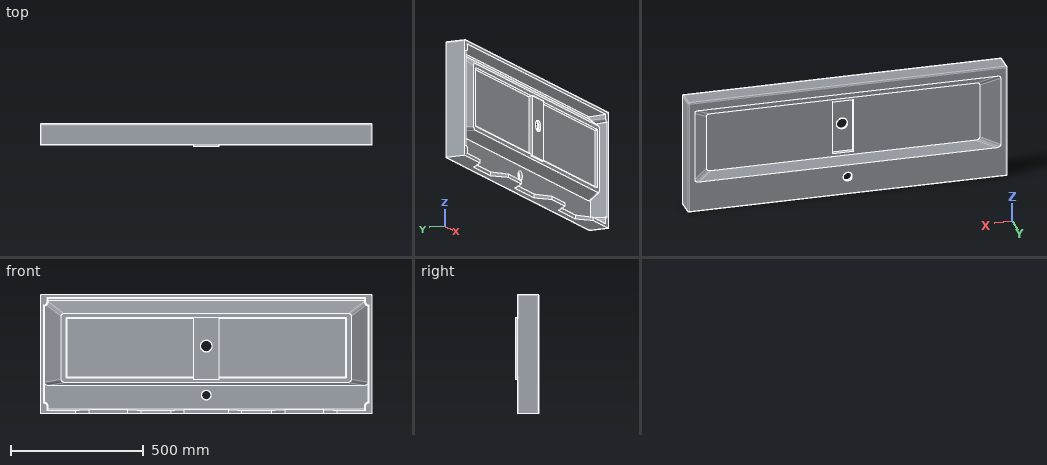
import cadquery as cq
import math


LENGTH = 1250.0
HEIGHT = 450.0
FRAME_DEPTH = 80.0
OUTER_RADIUS = 5.0
PLATE_FRONT = 68.0
WALL_AT_MOUTH = 12.5
WALL_AT_PLATE = 16.0
INNER_FILLET = 4.0

PILLAR_REACH_X = 24.5
PILLAR_REACH_Z = 40.0
PILLAR_DRAFT = 4.0
PILLAR_RADIUS = 11.0

RIM_FRONT = 0.0
RIM_HALF_LENGTH = 547.0
RIM_BOTTOM = 118.0
RIM_TOP = 377.5
BASE_HALF_LENGTH = 611.0
BASE_BOTTOM = 107.0
BASE_TOP = 426.0
BOWL_CORNER_RADIUS = 13.0
BOWL_WALL = 12.0

WINDOW_HALF_LENGTH = 529.0
WINDOW_BOTTOM = 135.5
WINDOW_TOP = 362.0
WINDOW_DEPTH = 8.5
WINDOW_DRAFT = 3.5
FLOOR_THICKNESS = 6.7

STRIP_FRONT = -6.7
STRIP_HALF_WIDTH = 47.5
STRIP_DRAFT = 1.0
STRIP_BOTTOM = 129.0
STRIP_TOP = 363.0
DRAIN_DIAMETER = 43.0
DRAIN_HEIGHT = 255.0
TAP_DIAMETER = 35.0
TAP_HEIGHT = 70.0

NOTCH_DEPTH = 50.0
CENTER_NOTCH_WIDTH = 266.0
SIDE_NOTCH_WIDTH = 246.0
SIDE_NOTCH_OFFSET = 369.0


def section_plane(x, y, z):
    """Plane facing -Y at the given point."""
    return cq.Plane(origin=(x, y, z), xDir=(1, 0, 0), normal=(0, -1, 0))


def extrude_to(front, back, section, draft):
    """Extrude a section from its back plane to the front, shrinking by the draft on every side."""
    return section.extrude(back - front, taper=math.degrees(math.atan2(draft, back - front)))


def block(half_length, bottom, top, front, back, draft=0):
    """Box symmetric about X = 0; its sizes hold at the front and grow by the draft at the back."""
    section = cq.Workplane(section_plane(0, back, (bottom + top) / 2)).rect(
        2 * (half_length + draft), top - bottom + 2 * draft
    )
    return extrude_to(front, back, section, draft)


def corner_pillar(x, z):
    """Drafted pillar centred on an outer corner of the frame; only its inner quarter is used."""
    width = 2 * (PILLAR_REACH_X + PILLAR_DRAFT)
    height = 2 * (PILLAR_REACH_Z + PILLAR_DRAFT)
    outline = cq.Sketch().rect(width, height).vertices().fillet(PILLAR_RADIUS + PILLAR_DRAFT)
    section = cq.Workplane(section_plane(x, PLATE_FRONT, z)).placeSketch(outline)
    return extrude_to(0, PLATE_FRONT, section, PILLAR_DRAFT)


def frame_cavity():
    """Drafted hollow of the frame, leaving a pillar in each corner."""
    half_length = LENGTH / 2 - WALL_AT_MOUTH
    top = HEIGHT - WALL_AT_MOUTH
    narrowing = WALL_AT_PLATE - WALL_AT_MOUTH
    cavity = block(half_length, WALL_AT_MOUTH, top, 0, PLATE_FRONT, -narrowing)
    cavity = cavity.faces(">Y").edges("<Z").fillet(INNER_FILLET)
    for x in (-LENGTH / 2, LENGTH / 2):
        for z in (0, HEIGHT):
            cavity = cavity.cut(corner_pillar(x, z))
    return cavity


def frame():
    """Tray open towards -Y, rounded along its top corners and its back edge."""
    body = block(LENGTH / 2, 0, HEIGHT, 0, FRAME_DEPTH)
    body = body.edges("|Y and >Z").fillet(OUTER_RADIUS)
    body = body.faces(">Y").edges("not <Z").fillet(OUTER_RADIUS)
    return body.cut(frame_cavity())


def bowl_section(half_length, bottom, top, y):
    """Rectangular wire symmetric about X = 0 at depth y."""
    plane = section_plane(0, y, (bottom + top) / 2)
    return cq.Workplane(plane).rect(2 * half_length, top - bottom).val()


def bowl_body(inset, front, back):
    """Bowl outline, shrunk all round by the inset, with its sloping corners rounded."""
    base = bowl_section(BASE_HALF_LENGTH - inset, BASE_BOTTOM + inset, BASE_TOP - inset, back)
    rim = bowl_section(RIM_HALF_LENGTH - inset, RIM_BOTTOM + inset, RIM_TOP - inset, front)
    body = cq.Workplane(cq.Solid.makeLoft([base, rim], True))
    sloping = body.edges().filter(lambda edge: edge.BoundingBox().ylen > (back - front) / 2)
    return sloping.fillet(BOWL_CORNER_RADIUS)


def bowl_cavity():
    """Hollow of the bowl, running deeper inside the drain channel."""
    window_floor = RIM_FRONT + WINDOW_DEPTH
    floor = window_floor + FLOOR_THICKNESS
    hollow = bowl_body(BOWL_WALL, floor, FRAME_DEPTH)
    channel = block(
        STRIP_HALF_WIDTH - FLOOR_THICKNESS,
        WINDOW_BOTTOM + FLOOR_THICKNESS,
        WINDOW_TOP - FLOOR_THICKNESS,
        STRIP_FRONT + FLOOR_THICKNESS,
        floor,
    )
    return hollow.union(channel)


def window():
    """Recess that narrows towards its floor."""
    return block(
        WINDOW_HALF_LENGTH, WINDOW_BOTTOM, WINDOW_TOP, RIM_FRONT, RIM_FRONT + WINDOW_DEPTH, -WINDOW_DRAFT
    )


def strip():
    """Raised strip that widens towards the window floor."""
    return block(
        STRIP_HALF_WIDTH, STRIP_BOTTOM, STRIP_TOP, STRIP_FRONT, RIM_FRONT + WINDOW_DEPTH, STRIP_DRAFT
    )


def through_hole(diameter, height):
    """Round hole along Y on the middle of the part."""
    return (
        cq.Workplane("XZ", origin=(0, FRAME_DEPTH, height))
        .circle(diameter / 2)
        .extrude(FRAME_DEPTH - STRIP_FRONT)
    )


def notch(center, width):
    """Trapezoidal notch through the bottom wall, wide at the front edge."""
    half = width / 2
    return (
        cq.Workplane("XY")
        .moveTo(center - half, 0)
        .lineTo(center + half, 0)
        .lineTo(center + half - NOTCH_DEPTH, NOTCH_DEPTH)
        .lineTo(center - half + NOTCH_DEPTH, NOTCH_DEPTH)
        .close()
        .extrude(WALL_AT_PLATE + INNER_FILLET)
    )


result = frame().union(bowl_body(0, RIM_FRONT, PLATE_FRONT))
result = result.cut(window()).union(strip()).cut(bowl_cavity())
for diameter, height in ((DRAIN_DIAMETER, DRAIN_HEIGHT), (TAP_DIAMETER, TAP_HEIGHT)):
    result = result.cut(through_hole(diameter, height))
result = result.cut(notch(0, CENTER_NOTCH_WIDTH))
for side in (-1, 1):
    result = result.cut(notch(side * SIDE_NOTCH_OFFSET, SIDE_NOTCH_WIDTH))